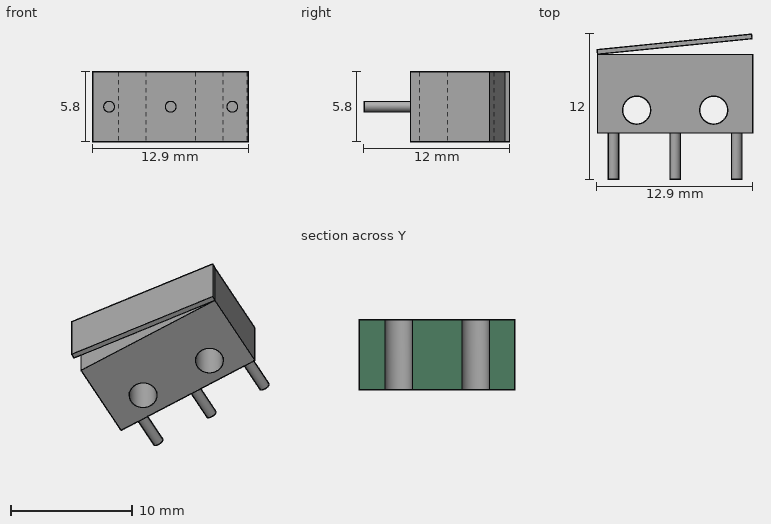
import cadquery as cq
import math

housing_length = 12.82
housing_depth = 6.5
housing_height = 5.8

mounting_hole_diameter = 2.29
mounting_hole_spacing = 6.35
mounting_hole_count = 2
mounting_hole_from_front = 1.9

pin_diameter = 0.89
pin_length = 3.81
pin_pitch = 5.08
pin_count = 3

lever_length = housing_length
lever_thickness = 0.4
lever_tilt = 0.1


def make_housing():
    """Block with two mounting holes and a row of terminal pins."""
    block = cq.Workplane("XY").box(
        housing_length, housing_depth, housing_height, centered=(True, False, True)
    )
    holes = (
        cq.Workplane("XY")
        .center(0, mounting_hole_from_front)
        .rarray(mounting_hole_spacing, 1, mounting_hole_count, 1)
        .circle(mounting_hole_diameter / 2)
        .extrude(housing_height / 2, both=True)
    )
    pins = (
        cq.Workplane("XZ")
        .rarray(pin_pitch, 1, pin_count, 1)
        .circle(pin_diameter / 2)
        .extrude(pin_length)
    )
    return block.cut(holes).union(pins)


def make_lever():
    """Strip hinged on the left rear vertical edge of the housing."""
    hinge_x = -housing_length / 2
    hinge_y = housing_depth
    return (
        cq.Workplane("XY")
        .box(lever_length, lever_thickness, housing_height, centered=(False, False, True))
        .rotate((0, 0, 0), (0, 0, 1), math.degrees(lever_tilt))
        .translate((hinge_x, hinge_y, 0))
    )


housing = make_housing()
lever = make_lever()

result = cq.Compound.makeCompound([housing.solids().val(), lever.val()])